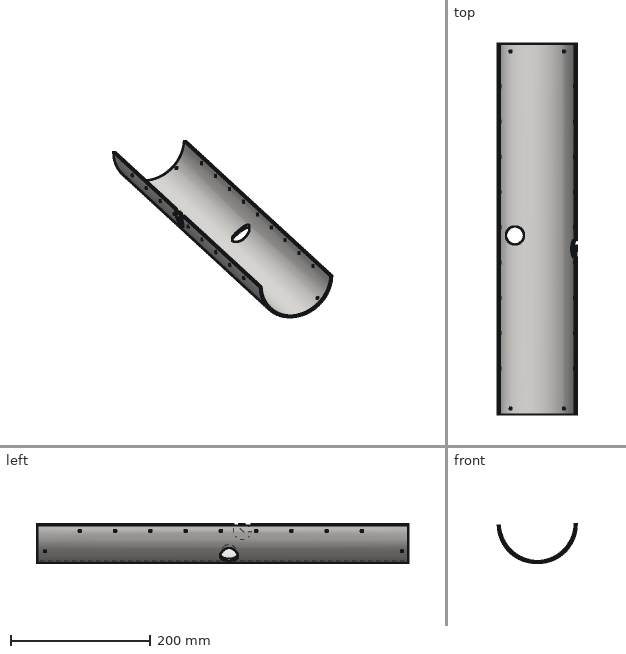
import cadquery as cq
import math

length = 534.0
outer_radius = 56.85
wall = 3.0
inner_radius = outer_radius - wall
height = 56.0
left_rim_drop = 1.5

rim_hole_diameter = 3.0
rim_hole_angle = 11.0
rim_hole_count = 9
rim_hole_pitch = 50.5
rim_hole_middle_y = 2.5
end_hole_diameter = 2.8
end_hole_angle = 45.0
front_hole_inset = 9.0
back_hole_inset = 11.0

floor_hole_diameter = 25.5
floor_hole_x = -32.0
floor_hole_y = -9.0

notch_width = 25.5
notch_y = -28.5
notch_arc_z = -10.0
tab_tip_y = -23.5
tab_top_end_y = -30.5
tab_underside_z = -5.5
tab_heel_y = -31.0
tab_heel_z = -13.0
tab_root_z = -11.0
saddle_y = -34.5
saddle_z = -5.5
saddle_end_z = -2.5


def make_trough():
    tube = cq.Workplane("XZ").circle(outer_radius).circle(inner_radius).extrude(length / 2, both=True)
    right_rim_z = height - outer_radius
    left_rim_z = right_rim_z - left_rim_drop
    for side, rim_z in ((-1, left_rim_z), (1, right_rim_z)):
        above_rim = cq.Workplane("XY").box(outer_radius, length, 2 * outer_radius, centered=(True, True, False))
        tube = tube.cut(above_rim.translate((side * outer_radius / 2, 0, rim_z)))
    return tube


def radial_hole(side, y, angle, diameter):
    """Drill crossing the wall on the +X (side = 1) or -X (side = -1) half."""
    direction = cq.Vector(side * math.cos(math.radians(angle)), 0, -math.sin(math.radians(angle)))
    start = direction * (inner_radius - wall) + cq.Vector(0, y, 0)
    return cq.Workplane(cq.Solid.makeCylinder(diameter / 2, 3 * wall, start, direction))


def drill_small_holes(body):
    first_y = rim_hole_middle_y - rim_hole_pitch * (rim_hole_count - 1) / 2
    end_positions = (front_hole_inset - length / 2, length / 2 - back_hole_inset)
    for side in (-1, 1):
        for index in range(rim_hole_count):
            y = first_y + index * rim_hole_pitch
            body = body.cut(radial_hole(side, y, rim_hole_angle, rim_hole_diameter))
        for y in end_positions:
            body = body.cut(radial_hole(side, y, end_hole_angle, end_hole_diameter))
    return body


def floor_hole():
    drill = cq.Workplane("XY").center(floor_hole_x, floor_hole_y).circle(floor_hole_diameter / 2)
    return drill.extrude(-outer_radius)


def notch_cutter():
    radius = notch_width / 2
    far_y = notch_y - radius
    notch = (
        cq.Workplane("YZ")
        .moveTo(far_y, 0)
        .lineTo(far_y, notch_arc_z)
        .threePointArc((notch_y, notch_arc_z - radius), (notch_y + radius, notch_arc_z))
        .lineTo(notch_y + radius, 0)
        .close()
        .extrude(outer_radius)
    )
    tab = (
        cq.Workplane("YZ")
        .moveTo(tab_tip_y, 0)
        .lineTo(tab_tip_y, tab_underside_z)
        .lineTo(tab_heel_y, tab_heel_z)
        .lineTo(far_y, tab_root_z)
        .lineTo(far_y, saddle_end_z)
        .lineTo(saddle_y, saddle_z)
        .lineTo(tab_top_end_y, 0)
        .close()
        .extrude(outer_radius)
    )
    return notch.cut(tab)


result = drill_small_holes(make_trough()).cut(floor_hole()).cut(notch_cutter())